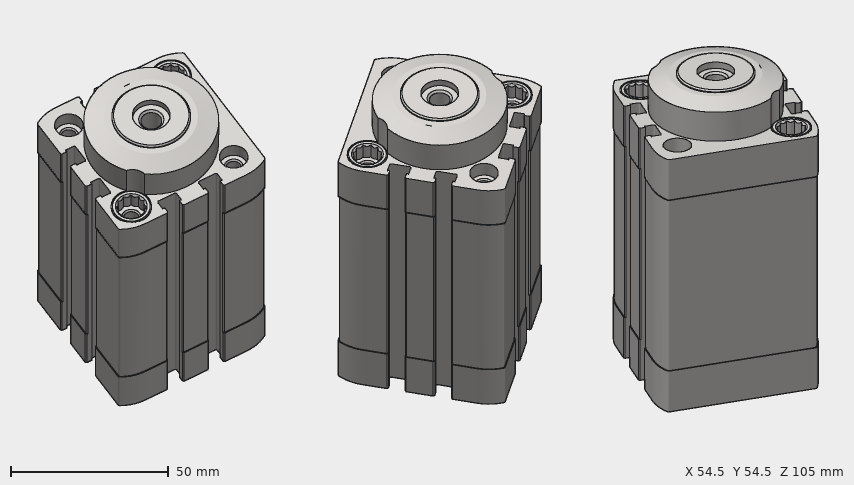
import cadquery as cq
import math

TOTAL_HEIGHT = 105.0

BODY_WIDTH = 54.5
BODY_HEIGHT = 91.6
COVER_HEIGHT = 14.8
BARREL_INSET = 0.3
HALF_WIDTH = BODY_WIDTH / 2
SIDE_FLAT_HALF = 18.8
CORNER_RADIUS = 15.8
CORNER_EDGE_FILLET = 0.8

COLLAR_DIAMETER = 42.8
COLLAR_FACE_DIAMETER = 29.7
COLLAR_EDGE_Z = 102.1
COLLAR_TOP_Z = 104.2

SLOT_PITCH = 15.1
SLOT_MOUTH_WIDTH = 5.5
SLOT_MOUTH_CHAMFER = 0.4
SLOT_INNER_WIDTH = 6.9
SLOT_LIP_DEPTH = 2.2
SLOT_DEPTH = 5.6
SLOT_FLOOR_FILLET = 0.5

HOLE_PITCH = 38.0
THREAD_DIAMETER = 4.9
THREAD_CHAMFER = 0.5
COUNTERBORE_DIAMETER = 9.0
COUNTERBORE_DEPTH = 5.0

RIM_DIAMETER = 12.8
RIM_FACE_DIAMETER = 12.0
SOCKET_FLATS = 8.2
SOCKET_BORE_DIAMETER = 8.6
SOCKET_DEPTH = 5.5
SOCKET_MOUTH_DIAMETER = 10.1

ROD_DIAMETER = 25.0
ROD_CHAMFER = 0.5
ROD_COUNTERBORE_DIAMETER = 12.0
ROD_COUNTERBORE_DEPTH = 2.3
ROD_HOLE_DIAMETER = 6.6
ROD_HOLE_MOUTH_DIAMETER = 8.0
ROD_HOLE_DEPTH = 14.7
DRILL_POINT_ANGLE = 118.0
ROD_BOTTOM_Z = BODY_HEIGHT - COVER_HEIGHT


def disc(diameter, bottom_z, top_z, center=(0, 0)):
    """Upright cylinder between two heights."""
    return (
        cq.Workplane("XY", origin=(*center, bottom_z))
        .circle(diameter / 2)
        .extrude(top_z - bottom_z)
    )


def taper(bottom_diameter, top_diameter, bottom_z, top_z, center=(0, 0)):
    """Upright cone frustum; a bottom diameter of zero gives a pointed cone."""
    return cq.Workplane(
        cq.Solid.makeCone(
            bottom_diameter / 2,
            top_diameter / 2,
            top_z - bottom_z,
            pnt=cq.Vector(*center, bottom_z),
        )
    )


def body_block(inset, bottom_z, top_z):
    """Prism of the rounded square outline, moved inwards by the inset."""
    half = HALF_WIDTH - inset
    radius = CORNER_RADIUS - inset
    arc_center_x = half - radius
    end_angle = math.asin((half - SIDE_FLAT_HALF) / radius)
    end_x = arc_center_x + radius * math.cos(end_angle)
    middle_x = arc_center_x + radius * math.cos(end_angle / 2)
    middle_y = SIDE_FLAT_HALF + radius * math.sin(end_angle / 2)
    return (
        cq.Workplane("XY", origin=(0, 0, bottom_z))
        .moveTo(half, -SIDE_FLAT_HALF)
        .lineTo(half, SIDE_FLAT_HALF)
        .threePointArc((middle_x, middle_y), (end_x, half))
        .lineTo(-end_x, half)
        .threePointArc((-middle_x, middle_y), (-half, SIDE_FLAT_HALF))
        .lineTo(-half, -SIDE_FLAT_HALF)
        .threePointArc((-middle_x, -middle_y), (-end_x, -half))
        .lineTo(end_x, -half)
        .threePointArc((middle_x, -middle_y), (half, -SIDE_FLAT_HALF))
        .close()
        .extrude(top_z - bottom_z)
        .faces("<Y or >Y")
        .edges("|Z")
        .fillet(CORNER_EDGE_FILLET)
    )


def slot(inset, bottom_z, top_z):
    """T-slot in the -Y side, with its chamfered mouth at the inset side face."""
    mouth = SLOT_MOUTH_WIDTH / 2
    flare = mouth + SLOT_MOUTH_CHAMFER
    inner = SLOT_INNER_WIDTH / 2
    right_half = [
        (flare, inset),
        (mouth, inset + SLOT_MOUTH_CHAMFER),
        (mouth, SLOT_LIP_DEPTH),
        (inner, SLOT_LIP_DEPTH),
        (inner, SLOT_DEPTH),
    ]
    left_half = [(-x, y) for x, y in reversed(right_half)]
    return (
        cq.Workplane("XY", origin=(0, -HALF_WIDTH, bottom_z))
        .polyline(right_half + left_half)
        .close()
        .extrude(top_z - bottom_z)
        .faces(">Y")
        .edges("|Z")
        .fillet(SLOT_FLOOR_FILLET)
    )


def slotted_section(inset, bottom_z, top_z):
    """Length of the housing with two slots in the -Y side and in both X sides."""
    section = body_block(inset, bottom_z, top_z)
    cutter = slot(inset, bottom_z, top_z)
    for turn in (0, 90, -90):
        for offset in (-SLOT_PITCH / 2, SLOT_PITCH / 2):
            section = section.cut(cutter.translate((offset, 0, 0)).rotate((0, 0, 0), (0, 0, 1), turn))
    return section


def collar():
    """Cylinder with a conical top."""
    cone = taper(COLLAR_DIAMETER, COLLAR_FACE_DIAMETER, COLLAR_EDGE_Z, COLLAR_TOP_Z)
    return disc(COLLAR_DIAMETER, BODY_HEIGHT, COLLAR_EDGE_Z).union(cone)


def threaded_hole(center, floor_z):
    """Through hole with a chamfered mouth at the floor of a counterbore."""
    mouth_diameter = THREAD_DIAMETER + 2 * THREAD_CHAMFER
    mouth = taper(THREAD_DIAMETER, mouth_diameter, floor_z - THREAD_CHAMFER, floor_z, center)
    return disc(THREAD_DIAMETER, 0, floor_z, center).union(mouth)


def counterbored_hole(center):
    floor_z = BODY_HEIGHT - COUNTERBORE_DEPTH
    counterbore = disc(COUNTERBORE_DIAMETER, floor_z, BODY_HEIGHT, center)
    return threaded_hole(center, floor_z).union(counterbore)


def socket_hole(center):
    """Through hole below a twelve-point socket with a conical mouth."""
    floor_z = BODY_HEIGHT - SOCKET_DEPTH
    corner_diameter = SOCKET_FLATS / math.cos(math.pi / 6)
    cut = threaded_hole(center, floor_z)
    cut = cut.union(disc(SOCKET_BORE_DIAMETER, floor_z, BODY_HEIGHT, center))
    for turn in (0, 30):
        hexagon = (
            cq.Workplane("XY")
            .polygon(6, corner_diameter)
            .extrude(SOCKET_DEPTH)
            .rotate((0, 0, 0), (0, 0, 1), turn)
            .translate((*center, floor_z))
        )
        cut = cut.union(hexagon)
    mouth_depth = (SOCKET_MOUTH_DIAMETER - SOCKET_BORE_DIAMETER) / 2
    mouth = taper(
        SOCKET_BORE_DIAMETER, SOCKET_MOUTH_DIAMETER, BODY_HEIGHT - mouth_depth, BODY_HEIGHT, center
    )
    return cut.union(mouth)


def rim_clearance(center):
    """Relief in the collar above a socket, and the V groove round the bevelled rim."""
    bevel = (RIM_DIAMETER - RIM_FACE_DIAMETER) / 2
    groove_z = BODY_HEIGHT - bevel
    rim = taper(RIM_DIAMETER, RIM_FACE_DIAMETER, groove_z, BODY_HEIGHT, center)
    return disc(RIM_DIAMETER, groove_z, COLLAR_TOP_Z, center).cut(rim)


def build_housing():
    barrel_top_z = BODY_HEIGHT - COVER_HEIGHT
    body = slotted_section(BARREL_INSET, COVER_HEIGHT, barrel_top_z)
    body = body.union(slotted_section(0, 0, COVER_HEIGHT))
    body = body.union(slotted_section(0, barrel_top_z, BODY_HEIGHT))
    body = body.union(collar())
    reach = HOLE_PITCH / 2
    for side in (-1, 1):
        socket_center = (side * reach, -side * reach)
        body = body.cut(rim_clearance(socket_center))
        body = body.cut(socket_hole(socket_center))
        body = body.cut(counterbored_hole((side * reach, side * reach)))
    return body.cut(disc(ROD_DIAMETER, ROD_BOTTOM_Z, COLLAR_TOP_Z))


def build_rod():
    """Round rod with a chamfered end and a drilled, countersunk, counterbored centre hole."""
    floor_z = TOTAL_HEIGHT - ROD_COUNTERBORE_DEPTH
    countersink_depth = (ROD_HOLE_MOUTH_DIAMETER - ROD_HOLE_DIAMETER) / 2
    hole_bottom_z = TOTAL_HEIGHT - ROD_HOLE_DEPTH
    point_depth = ROD_HOLE_DIAMETER / 2 / math.tan(math.radians(DRILL_POINT_ANGLE / 2))
    rod = disc(ROD_DIAMETER, ROD_BOTTOM_Z, TOTAL_HEIGHT).faces(">Z").chamfer(ROD_CHAMFER)
    rod = rod.cut(disc(ROD_COUNTERBORE_DIAMETER, floor_z, TOTAL_HEIGHT))
    rod = rod.cut(taper(ROD_HOLE_DIAMETER, ROD_HOLE_MOUTH_DIAMETER, floor_z - countersink_depth, floor_z))
    rod = rod.cut(disc(ROD_HOLE_DIAMETER, hole_bottom_z, floor_z))
    return rod.cut(taper(0, ROD_HOLE_DIAMETER, hole_bottom_z - point_depth, hole_bottom_z))


housing = build_housing()
rod = build_rod()

result = cq.Compound.makeCompound([housing.val(), rod.val()])